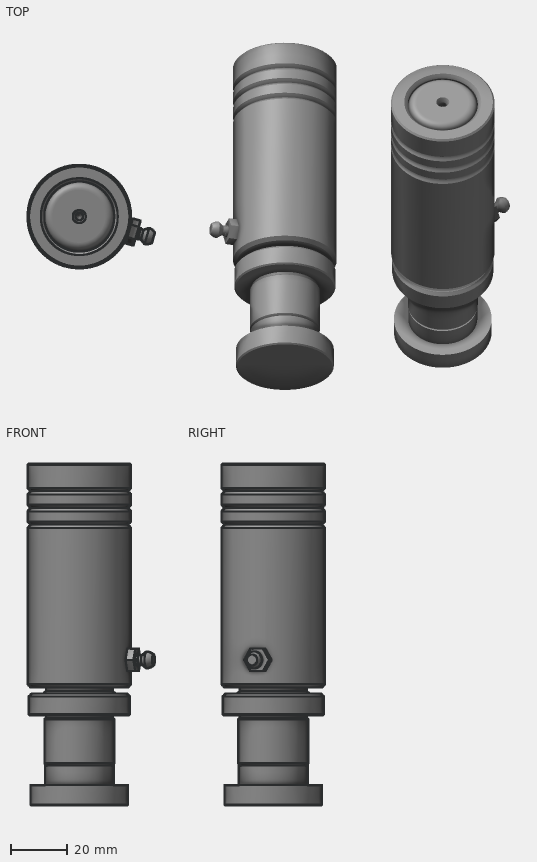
import cadquery as cq
import math


sleeve_diameter = 37.0
sleeve_radius = sleeve_diameter / 2
sleeve_bottom = 42.1
sleeve_top = 122.0
sleeve_top_chamfer = 0.6
sleeve_bottom_chamfer = 1.2
bore_lead_in = 1.2
groove_count = 3
groove_pitch = 6.0
groove_width = 2.5
groove_depth = 1.1
top_land_height = 8.7

pin_diameter = 25.0
pin_radius = pin_diameter / 2
pin_bottom = 14.3
pin_top = sleeve_top
pin_bottom_chamfer = 1.0
pin_top_round = 3.0
collar_radius = 18.0
collar_bottom = 32.2
collar_top = 40.0
collar_top_chamfer = 1.1
collar_bottom_chamfer = 0.5
relief_radius = 12.0
relief_height = 1.5
collar_root_flare = 0.9

countersink_radius = 2.3
countersink_angle = 60.0
pilot_radius = 1.3
pilot_depth = 3.7
drill_point_angle = 118.0

foot_radius = 17.5
foot_height = 7.3
foot_chamfer = 0.5
foot_boss_radius = 12.3

fitting_angle = -16.0
fitting_height = 52.0
fitting_shank_radius = 2.5
fitting_shank_length = 3.7
hex_across_flats = 8.0
hex_length = 2.9
hex_turn = 30.0
neck_base_radius = 2.1
neck_radius = 1.8
neck_base_length = 0.9
neck_end = 2.0
head_radius = 3.0
head_position = 3.7
head_bulge_position = 5.0
head_bulge_radius = 2.7
tip_radius = 2.0
tip_position = 6.1


def turn(outline):
    """Revolve a closed (radius, height) outline about its height axis."""
    return outline.close().revolve(360, (0, 0, 0), (0, 1, 0))


def make_groove(top):
    """Ring with a V-shaped section that cuts one groove, its upper edge at the given height."""
    return turn(
        cq.Workplane("XZ")
        .moveTo(sleeve_radius, top)
        .lineTo(sleeve_radius - groove_depth, top - groove_width / 2)
        .lineTo(sleeve_radius, top - groove_width)
    )


def make_sleeve():
    body = turn(
        cq.Workplane("XZ")
        .moveTo(pin_radius, sleeve_bottom)
        .lineTo(sleeve_radius - sleeve_bottom_chamfer, sleeve_bottom)
        .lineTo(sleeve_radius, sleeve_bottom + sleeve_bottom_chamfer)
        .lineTo(sleeve_radius, sleeve_top - sleeve_top_chamfer)
        .lineTo(sleeve_radius - sleeve_top_chamfer, sleeve_top)
        .lineTo(pin_radius + bore_lead_in, sleeve_top)
        .lineTo(pin_radius, sleeve_top - bore_lead_in)
    )
    for index in range(groove_count):
        body = body.cut(make_groove(sleeve_top - top_land_height - index * groove_pitch))
    return body


def make_centre_hole():
    """Countersunk pilot hole with a drill point, cut down from the top of the pin."""
    countersink_depth = (countersink_radius - pilot_radius) / math.tan(math.radians(countersink_angle / 2))
    point_depth = pilot_radius / math.tan(math.radians(drill_point_angle / 2))
    return turn(
        cq.Workplane("XZ")
        .moveTo(0, pin_top)
        .lineTo(countersink_radius, pin_top)
        .lineTo(pilot_radius, pin_top - countersink_depth)
        .lineTo(pilot_radius, pin_top - pilot_depth)
        .lineTo(0, pin_top - pilot_depth - point_depth)
    )


def make_pin():
    relief_step = pin_radius - relief_radius
    body = turn(
        cq.Workplane("XZ")
        .moveTo(0, pin_bottom)
        .lineTo(pin_radius - pin_bottom_chamfer, pin_bottom)
        .lineTo(pin_radius, pin_bottom + pin_bottom_chamfer)
        .lineTo(pin_radius, collar_bottom - relief_height)
        .lineTo(relief_radius, collar_bottom - relief_height + relief_step)
        .lineTo(relief_radius, collar_bottom)
        .lineTo(collar_radius - collar_bottom_chamfer, collar_bottom)
        .lineTo(collar_radius, collar_bottom + collar_bottom_chamfer)
        .lineTo(collar_radius, collar_top - collar_top_chamfer)
        .lineTo(collar_radius - collar_top_chamfer, collar_top)
        .lineTo(relief_radius + collar_root_flare, collar_top)
        .lineTo(relief_radius, collar_top + collar_root_flare)
        .lineTo(relief_radius, sleeve_bottom)
        .lineTo(pin_radius, sleeve_bottom + relief_step)
        .lineTo(pin_radius, pin_top - pin_top_round)
        .radiusArc((pin_radius - pin_top_round, pin_top), -pin_top_round)
        .lineTo(0, pin_top)
    )
    return body.cut(make_centre_hole())


def make_foot():
    return turn(
        cq.Workplane("XZ")
        .lineTo(foot_radius - foot_chamfer, 0)
        .lineTo(foot_radius, foot_chamfer)
        .lineTo(foot_radius, foot_height)
        .lineTo(foot_boss_radius, foot_height)
        .lineTo(foot_boss_radius, pin_bottom)
        .lineTo(0, pin_bottom)
    )


def place_on_sleeve(body):
    """Lay a body built along +Z so that it points outward from the sleeve wall."""
    return (
        body.rotate((0, 0, 0), (0, 1, 0), 90)
        .translate((sleeve_radius, 0, fitting_height))
        .rotate((0, 0, 0), (0, 0, 1), fitting_angle)
    )


def make_fitting_shank():
    return cq.Workplane("XY").circle(fitting_shank_radius).extrude(-fitting_shank_length)


def make_fitting():
    """Hexagon, nozzle and buried shank, built along +Z, measured from the sleeve wall."""
    hex_across_corners = hex_across_flats / math.cos(math.pi / 6)
    hexagon = cq.Workplane("XY").polygon(6, hex_across_corners).extrude(hex_length)
    hexagon = hexagon.rotate((0, 0, 0), (0, 0, 1), hex_turn)
    nozzle = turn(
        cq.Workplane("XZ")
        .lineTo(neck_base_radius, 0)
        .lineTo(neck_base_radius, neck_base_length)
        .lineTo(neck_radius, neck_base_length)
        .lineTo(neck_radius, neck_end)
        .lineTo(head_radius, head_position)
        .threePointArc((head_bulge_radius, head_bulge_position), (tip_radius, tip_position))
        .lineTo(0, tip_position)
    ).translate((0, 0, hex_length))
    return place_on_sleeve(hexagon.union(nozzle).union(make_fitting_shank()))


fitting_hole = place_on_sleeve(make_fitting_shank())
sleeve = make_sleeve().cut(fitting_hole)
pin = make_pin()
foot = make_foot()
fitting = make_fitting()

result = cq.Compound.makeCompound([sleeve.val(), pin.val(), foot.val(), fitting.val()])